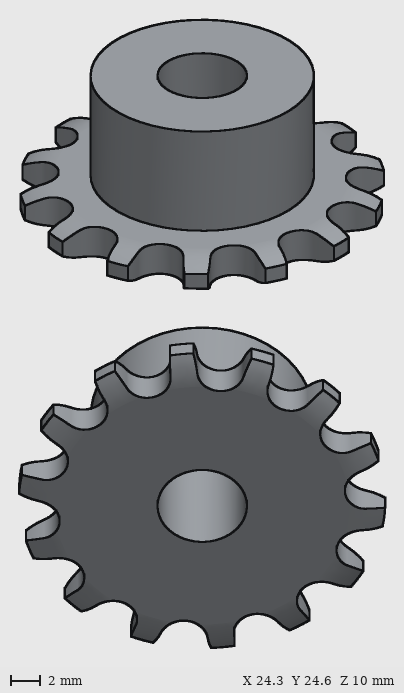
import cadquery as cq
import math

tooth_count = 14
tip_radius = 12.3
pitch_radius = 11.25
roller_radius = 1.6
tip_half_width = 0.79
plate_thickness = 2.31
tip_land = 1.13
bevel_inner_radius = 9.91
hub_diameter = 15.0
bore_diameter = 6.0
total_height = 10.0
rim_clearance = 1.1

tooth_pitch_angle = 360 / tooth_count
bevel_drop = (plate_thickness - tip_land) / 2
tip_land_top = plate_thickness - bevel_drop


def plate_blank():
    """Revolve the plate section, whose rim bevels are arcs tangent to the flat faces."""
    section = (
        cq.Workplane("XZ")
        .lineTo(bevel_inner_radius, 0)
        .tangentArcPoint((tip_radius, bevel_drop), relative=False)
        .lineTo(tip_radius, tip_land_top)
        .lineTo(tip_radius, plate_thickness)
        .lineTo(0, plate_thickness)
        .close()
    )
    lower_bevelled = section.revolve(360, (0, 0, 0), (0, 1, 0))
    upper_bevelled = lower_bevelled.mirror("XY").translate((0, 0, plate_thickness))
    return lower_bevelled.intersect(upper_bevelled)


def tooth_gap():
    """Cutter for one gap centred on +X: a round seat that runs smoothly into two convex flanks."""
    half_pitch = math.radians(tooth_pitch_angle / 2)
    seat_end_x = pitch_radius - roller_radius * math.sin(half_pitch)
    seat_end_y = roller_radius * math.cos(half_pitch)

    tip_angle = half_pitch - math.asin(tip_half_width / tip_radius)
    tip_x = tip_radius * math.cos(tip_angle)
    tip_y = tip_radius * math.sin(tip_angle)

    chord_x = tip_x - seat_end_x
    chord_y = tip_y - seat_end_y
    chord = math.hypot(chord_x, chord_y)
    turn = math.atan2(chord_y, chord_x) - half_pitch
    sagitta = chord / 2 * math.tan(turn / 2)
    middle_x = seat_end_x + chord_x / 2 + sagitta * chord_y / chord
    middle_y = seat_end_y + chord_y / 2 - sagitta * chord_x / chord

    return (
        cq.Workplane("XY")
        .moveTo(seat_end_x, -seat_end_y)
        .threePointArc((pitch_radius - roller_radius, 0), (seat_end_x, seat_end_y))
        .threePointArc((middle_x, middle_y), (tip_x, tip_y))
        .lineTo(rim_clearance * tip_x, rim_clearance * tip_y)
        .lineTo(rim_clearance * tip_x, -rim_clearance * tip_y)
        .lineTo(tip_x, -tip_y)
        .threePointArc((middle_x, -middle_y), (seat_end_x, -seat_end_y))
        .close()
        .extrude(plate_thickness)
    )


sprocket = plate_blank()

gap = tooth_gap()
for index in range(tooth_count):
    gap_angle = 90 + (index + 0.5) * tooth_pitch_angle
    sprocket = sprocket.cut(gap.rotate((0, 0, 0), (0, 0, 1), gap_angle))

hub = cq.Workplane("XY").circle(hub_diameter / 2).extrude(total_height)
bore = cq.Workplane("XY").circle(bore_diameter / 2).extrude(total_height)
result = sprocket.union(hub).cut(bore)